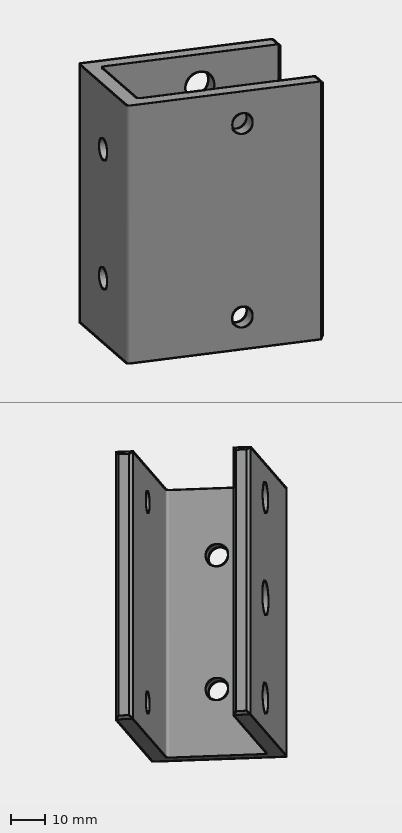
import cadquery as cq

width = 40.0
depth = 61.5
height = 80.0
wall = 5.0
corner_radius = 1.0
end_chamfer = 1.0

web_hole_diameter = 6.6
web_hole_spacing = height / 2
side_hole_y = 36.0
side_hole_spacing = 0.75 * height
access_hole_diameter = 9.0
far_hole_diameter = 6.4
center_hole_diameter = 10.2


def make_channel():
    """U-shaped channel with its front face on Y = 0, centred on X and Z."""
    outer = (
        cq.Workplane("XY")
        .box(width, depth, height, centered=(True, False, True))
        .edges("|Z and <Y")
        .fillet(corner_radius)
    )
    cavity = (
        cq.Workplane("XY")
        .box(width - 2 * wall, depth, height, centered=(True, False, True))
        .edges("|Z and <Y")
        .fillet(corner_radius)
        .translate((0, wall, 0))
    )
    return outer.cut(cavity).faces(">Y").edges().chamfer(end_chamfer)


def web_hole(z):
    """Cutter for a hole along Y through the web."""
    return cq.Workplane(cq.Solid.makeCylinder(
        web_hole_diameter / 2, wall, cq.Vector(0, 0, z), cq.Vector(0, 1, 0)))


def side_hole(diameter, wall_start_x, z):
    """Cutter for a hole along X through the side wall that starts at wall_start_x."""
    return cq.Workplane(cq.Solid.makeCylinder(
        diameter / 2, wall, cq.Vector(wall_start_x, side_hole_y, z), cq.Vector(1, 0, 0)))


left_wall_x = -width / 2
right_wall_x = width / 2 - wall

result = make_channel()

for side in (-1, 1):
    result = result.cut(web_hole(side * web_hole_spacing / 2))

    side_hole_z = side * side_hole_spacing / 2
    result = result.cut(side_hole(access_hole_diameter, left_wall_x, side_hole_z))
    result = result.cut(side_hole(far_hole_diameter, right_wall_x, side_hole_z))

result = result.cut(side_hole(center_hole_diameter, left_wall_x, 0))